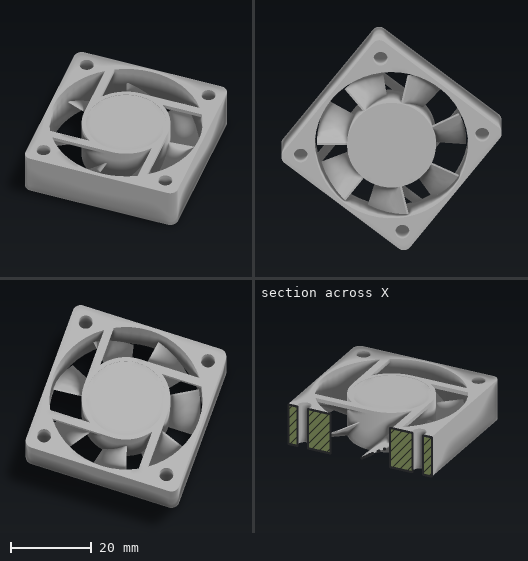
import cadquery as cq
import math

frame_side = 40.0
frame_height = 11.0
corner_radius = 2.0
bore_diameter = 38.0
mount_hole_diameter = 3.5
mount_hole_spacing = 32.0

hub_diameter = 22.0
hub_recess_diameter = 19.8
hub_recess_depth = 0.1
strut_width = 2.0
strut_thickness = 1.0
strut_count = 4

blade_count = 7
blade_tip_diameter = 37.0
blade_thickness = 0.5
blade_offset = blade_thickness / 2
blade_bottom = 0.6
blade_top = 6.6
blade_twist = 30.3
first_blade_angle = 4.6

hub_radius = hub_diameter / 2
bore_radius = bore_diameter / 2


def make_strut(angle):
    """Bar from the hub side to the bore wall, its outer face tangent to the hub."""
    inner_face = hub_radius - strut_width
    length = math.sqrt(bore_radius**2 - inner_face**2)
    bar = cq.Workplane("XY").box(length, strut_width, strut_thickness, centered=False)
    bar = bar.translate((0, inner_face, frame_height - strut_thickness))
    return bar.rotate((0, 0, 0), (0, 0, 1), angle)


def make_frame():
    """Square housing with its bore, mounting holes, struts and central hub."""
    frame = (
        cq.Workplane("XY")
        .box(frame_side, frame_side, frame_height, centered=(True, True, False))
        .edges("|Z")
        .fillet(corner_radius)
        .faces(">Z")
        .workplane()
        .hole(bore_diameter)
    )
    frame = (
        frame.faces(">Z")
        .workplane(origin=(0, 0, frame_height))
        .rect(mount_hole_spacing, mount_hole_spacing, forConstruction=True)
        .vertices()
        .hole(mount_hole_diameter)
    )
    hub = cq.Workplane("XY").circle(hub_radius).extrude(frame_height)
    for index in range(strut_count):
        hub = hub.union(make_strut(index * 360 / strut_count))
    recess = (
        cq.Workplane("XY", origin=(0, 0, frame_height))
        .circle(hub_recess_diameter / 2)
        .extrude(-hub_recess_depth)
    )
    return frame.union(hub).cut(recess)


def make_blade(angle):
    """Helical blade between the hub wall and the blade tip circle."""
    height = blade_top - blade_bottom
    strip_start = hub_radius / 2
    strip_end = bore_radius
    twisted = (
        cq.Workplane("XY")
        .moveTo((strip_start + strip_end) / 2, blade_offset)
        .rect(strip_end - strip_start, blade_thickness)
        .twistExtrude(height, blade_twist)
    )
    ring = cq.Workplane("XY").circle(blade_tip_diameter / 2).circle(hub_radius).extrude(height)
    blade = twisted.intersect(ring).translate((0, 0, blade_bottom))
    return blade.rotate((0, 0, 0), (0, 0, 1), angle - blade_twist)


frame = make_frame()
blades = [make_blade(first_blade_angle + index * 360 / blade_count) for index in range(blade_count)]

result = cq.Compound.makeCompound([frame.val(), *[blade.val() for blade in blades]])